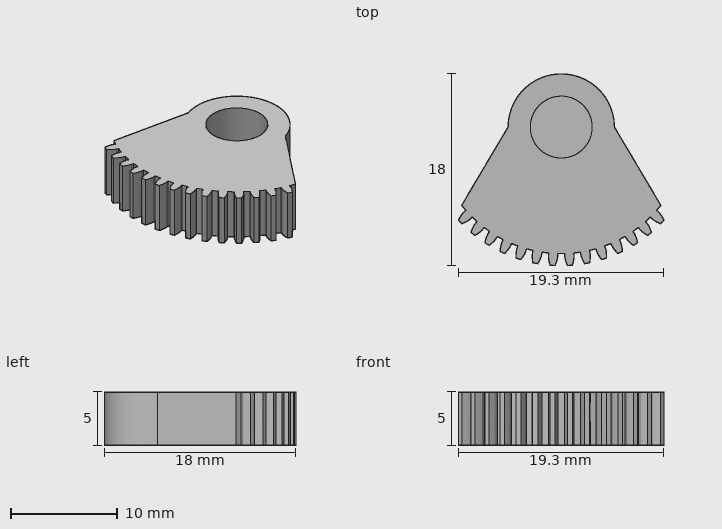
import cadquery as cq
import math

thickness = 5.0
hub_radius = 5.0
bore_diameter = 5.8
bore_depth = 3.78

full_gear_teeth = 50
sector_teeth = 14
outer_radius = 13.0
pressure_angle = math.radians(14.5)
dedendum_factor = 1.25
flank_points = 6

module = 2 * outer_radius / (full_gear_teeth + 2)
pitch_radius = module * full_gear_teeth / 2
root_radius = pitch_radius - dedendum_factor * module
base_radius = pitch_radius * math.cos(pressure_angle)
pitch_angle = 2 * math.pi / full_gear_teeth
overlap = 0.5 * module

involute_at_pitch = math.tan(pressure_angle) - pressure_angle
base_half_angle = pitch_angle / 4 + involute_at_pitch

sector_half_angle = (sector_teeth + 1) / 2 * pitch_angle - base_half_angle


def polar(radius, angle):
    """Point at an angle measured from -Y towards +X."""
    return radius * math.sin(angle), -radius * math.cos(angle)


def make_body():
    """Round hub that widens along straight sides to the root circle."""
    return (
        cq.Workplane("XY")
        .moveTo(-hub_radius, 0)
        .threePointArc((0, hub_radius), (hub_radius, 0))
        .lineTo(*polar(root_radius, sector_half_angle))
        .threePointArc((0, -root_radius), polar(root_radius, -sector_half_angle))
        .close()
        .extrude(thickness)
    )


def flank(center_angle, side):
    """Involute points from the base circle to the tip; side is -1 or +1."""
    points = []
    for i in range(flank_points):
        radius = base_radius + (outer_radius - base_radius) * i / (flank_points - 1)
        local_pressure = math.acos(min(1, base_radius / radius))
        involute = math.tan(local_pressure) - local_pressure
        points.append(polar(radius, center_angle + side * (base_half_angle - involute)))
    return points


def make_tooth(center_angle):
    """Involute tooth with radial flanks below the base circle."""
    left = flank(center_angle, -1)
    right = flank(center_angle, 1)
    inner_radius = root_radius - overlap
    return (
        cq.Workplane("XY")
        .moveTo(*polar(inner_radius, center_angle - base_half_angle))
        .lineTo(*left[0])
        .spline(left[1:], includeCurrent=True)
        .threePointArc(polar(outer_radius, center_angle), right[-1])
        .spline(right[-2::-1], includeCurrent=True)
        .lineTo(*polar(inner_radius, center_angle + base_half_angle))
        .close()
        .extrude(thickness)
    )


result = make_body()
for index in range(sector_teeth):
    result = result.union(make_tooth((index - (sector_teeth - 1) / 2) * pitch_angle))

bore = (
    cq.Workplane("XY")
    .workplane(offset=thickness - bore_depth)
    .circle(bore_diameter / 2)
    .extrude(bore_depth)
)
result = result.cut(bore)